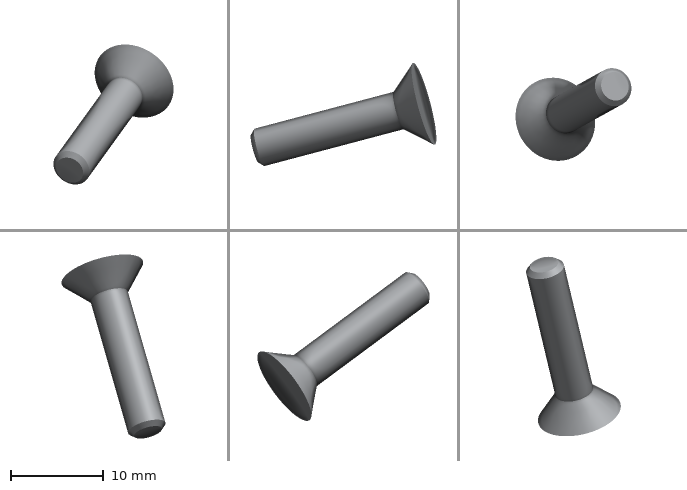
import cadquery as cq
import math

overall_length = 19.05
head_diameter = 9.12
shank_diameter = 4.17
head_angle = 82.0
tip_chamfer = 0.52

head_radius = head_diameter / 2
shank_radius = shank_diameter / 2
tip_radius = shank_radius - tip_chamfer
head_height = (head_radius - shank_radius) / math.tan(math.radians(head_angle / 2))


def screw_body():
    """Revolve the half profile (radius along X, length along Y) about the Y axis."""
    half_profile = (
        cq.Workplane("XY")
        .moveTo(0, 0)
        .lineTo(head_radius, 0)
        .lineTo(shank_radius, -head_height)
        .lineTo(shank_radius, -overall_length + tip_chamfer)
        .lineTo(tip_radius, -overall_length)
        .lineTo(0, -overall_length)
        .close()
    )
    return half_profile.revolve(360, (0, 0, 0), (0, 1, 0))


result = screw_body()